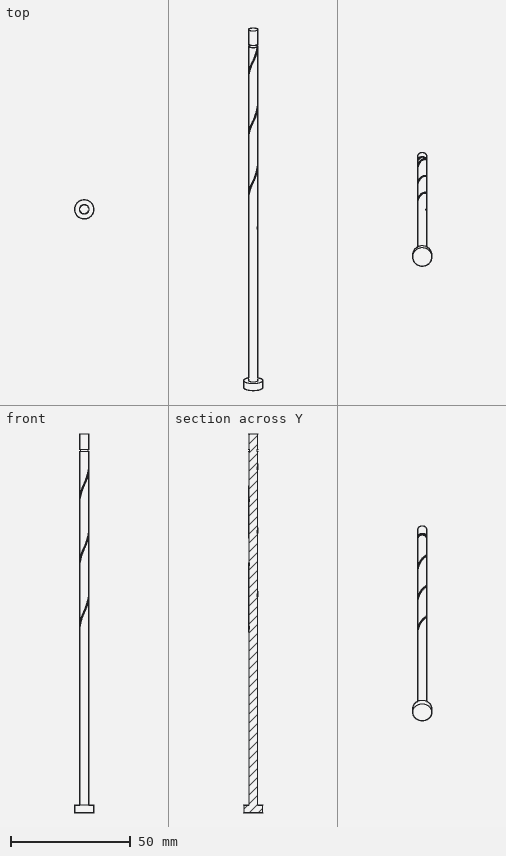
import cadquery as cq

total_length = 158.3
head_diameter = 8.0
head_height = 3.2
rod_diameter = 4.0
rod_radius = rod_diameter / 2

tip_length = 6.5
ring_width = 1.0
neck_diameter = 3.3
ring_bottom = total_length - tip_length - ring_width

spiral_pitch = 26.6
spiral_turns = 3
spiral_width = 1.0
spiral_depth = 0.3
spiral_bottom = 70.8
spiral_start_angle = 90


def make_pin():
    """Cylindrical head with a plain rod standing on it."""
    head = cq.Workplane("XY").circle(head_diameter / 2).extrude(head_height)
    rod = cq.Workplane("XY").circle(rod_radius).extrude(total_length)
    return head.union(rod)


def make_ring_cutter():
    """Annulus that leaves a thin neck below the tip."""
    return (
        cq.Workplane("XY", origin=(0, 0, ring_bottom))
        .circle(rod_diameter)
        .circle(neck_diameter / 2)
        .extrude(ring_width)
    )


def make_spiral_cutter():
    """Rectangular profile swept along a helix, half sunk into the rod."""
    helix = cq.Wire.makeHelix(spiral_pitch, spiral_pitch * spiral_turns, rod_radius)
    cutter = (
        cq.Workplane("XZ")
        .center(rod_radius, 0)
        .rect(2 * spiral_depth, spiral_width)
        .sweep(cq.Workplane(obj=helix), isFrenet=True)
    )
    return cutter.rotate((0, 0, 0), (0, 0, 1), spiral_start_angle).translate((0, 0, spiral_bottom))


result = make_pin().cut(make_ring_cutter()).cut(make_spiral_cutter())